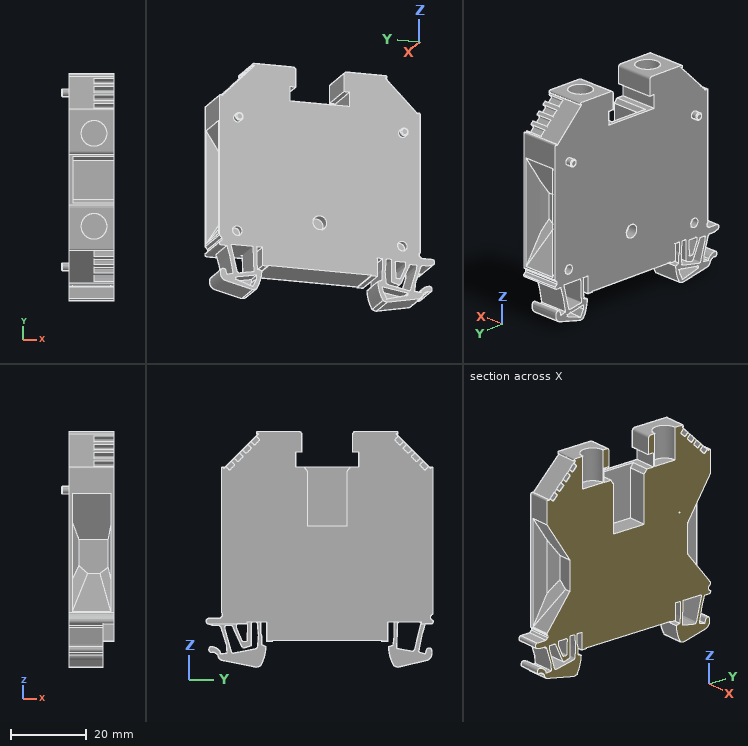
import cadquery as cq
import math


width = 11.95
half_length = 27.95
height = 62.25
skirt_half = 16.0
skirt_z = 7.05
skirt_lip_z = 6.85
skirt_lip_length = 1.6
under_z = 11.9
ledge_z = 11.45
ledge_y = 21.15

slope_sum = 79.8
shoulder_z = 52.85
lip_y = 27.25
lip_round = 0.45
top_lip_y = 18.7
top_lip_z = 61.55

gap_half = 6.65
gap_round = 0.9
undercut_half = 8.3
undercut_z = 56.8

pocket_wall = 1.1
pocket_rim_half = 6.1
pocket_half = 5.15
pocket_rim_drop = 1.25
pocket_depth = 15.55

screw_x = 6.65
screw_y = 12.25
screw_diameter = 6.8
screw_depth = 9.35

groove_start_x = 6.65
groove_width = 2.0
groove_depth = 1.45
groove_round = 0.2
groove_count = 4
groove_pitch = 3.1
first_groove_z = 60.3

pin_y = 23.0
pin_z = 46.75
pin_diameter = 2.1
pin_length = 1.9
pin_chamfer = 0.25
socket_z = 15.8
socket_diameter = 2.6
socket_depth = 2.2
center_socket_z = 20.1
center_socket_diameter = 3.8
center_socket_depth = 3.1

funnel_depth = 7.8
funnel_x = (0.95, 11.1)
funnel_z = (14.75, 45.8)
funnel_back_x = (2.7, 10.4)
funnel_back_z = (24.8, 33.75)
funnel_straight = (0.62, 0.70)
funnel_floor_x = (5.0, 8.2)
funnel_facet_z = (26.8, 26.4)

foot_width = 9.1
foot_top_z = 12.45
foot_pocket_depth = 3.75
foot_pocket_draft = 3
window_round = 0.25


def prism(points, x_start, x_end):
    """Extrude a closed (y, z) outline along X."""
    return cq.Workplane("YZ").workplane(offset=x_start).polyline(points).close().extrude(x_end - x_start)


def both_ends(solid):
    """Join a solid with its mirror image about y = 0."""
    return solid.union(solid.mirror("XZ"))


def disc(y, z, diameter, x_start, x_end):
    return cq.Workplane("YZ").workplane(offset=x_start).center(y, z).circle(diameter / 2).extrude(x_end - x_start)


def make_housing():
    bend = lip_round * (1 - math.sqrt(0.5))
    top_bend = gap_round * (1 - math.sqrt(0.5))
    outline = cq.Workplane("YZ").moveTo(-undercut_half, shoulder_z)

    outline = (
        outline.lineTo(-undercut_half, undercut_z)
        .lineTo(-gap_half, undercut_z)
        .lineTo(-gap_half, height - gap_round)
        .threePointArc((-gap_half - top_bend, height - top_bend), (-gap_half - gap_round, height))
        .lineTo(-top_lip_y + lip_round, height)
        .threePointArc((-top_lip_y + bend, height - bend), (-top_lip_y, height - lip_round))
        .lineTo(-top_lip_y, top_lip_z)
        .lineTo(top_lip_z - slope_sum, top_lip_z)
        .lineTo(-lip_y, slope_sum - lip_y)
        .lineTo(-lip_y, shoulder_z)
        .lineTo(-half_length + lip_round, shoulder_z)
        .threePointArc((-half_length + bend, shoulder_z - bend), (-half_length, shoulder_z - lip_round))
    )
    outline = (
        outline.lineTo(-half_length, 14.5)
        .lineTo(-27.7, 14.05)
        .lineTo(-27.7, 13.6)
        .lineTo(-28.3, 12.95)
        .lineTo(-31.4, 12.95)
        .threePointArc((-31.95, 12.4), (-31.55, ledge_z))
        .lineTo(-ledge_y, ledge_z)
        .lineTo(-ledge_y, under_z)
    )
    outline = (
        outline.lineTo(-skirt_half, under_z)
        .lineTo(-skirt_half, skirt_lip_z)
        .lineTo(-skirt_half + skirt_lip_length, skirt_lip_z)
        .lineTo(-skirt_half + skirt_lip_length, skirt_z)
        .lineTo(skirt_half - skirt_lip_length, skirt_z)
        .lineTo(skirt_half - skirt_lip_length, skirt_lip_z)
        .lineTo(skirt_half, skirt_lip_z)
        .lineTo(skirt_half, under_z)
    )
    outline = (
        outline.lineTo(24.9, under_z)
        .lineTo(24.9, ledge_z)
        .lineTo(27.5, ledge_z)
        .threePointArc((27.9, 11.7), (28.0, 12.2))
        .lineTo(27.25, 12.9)
        .lineTo(27.25, 13.45)
        .lineTo(half_length, 14.2)
    )
    outline = (
        outline.lineTo(half_length, shoulder_z - lip_round)
        .threePointArc((half_length - bend, shoulder_z - bend), (half_length - lip_round, shoulder_z))
        .lineTo(lip_y, shoulder_z)
        .lineTo(lip_y, slope_sum - lip_y)
        .lineTo(slope_sum - top_lip_z, top_lip_z)
        .lineTo(top_lip_y, top_lip_z)
        .lineTo(top_lip_y, height - lip_round)
        .threePointArc((top_lip_y - bend, height - bend), (top_lip_y - lip_round, height))
        .lineTo(gap_half + gap_round, height)
        .threePointArc((gap_half + top_bend, height - top_bend), (gap_half, height - gap_round))
        .lineTo(gap_half, undercut_z)
        .lineTo(undercut_half, undercut_z)
        .lineTo(undercut_half, shoulder_z)
        .close()
    )
    return outline.extrude(width)


def make_gap_pocket():
    rim_z = shoulder_z - pocket_rim_drop
    floor_z = shoulder_z - pocket_depth
    outline = [
        (-pocket_rim_half, shoulder_z),
        (-pocket_half, rim_z),
        (-pocket_half, floor_z),
        (pocket_half, floor_z),
        (pocket_half, rim_z),
        (pocket_rim_half, shoulder_z),
    ]
    return prism(outline, pocket_wall, width)


def make_screw_holes():
    hole = (
        cq.Workplane("XY").workplane(offset=height - screw_depth)
        .center(screw_x, screw_y).circle(screw_diameter / 2).extrude(screw_depth)
    )
    return both_ends(hole)


def make_grooves():
    grooves = cq.Workplane("XY")
    length = width - groove_start_x
    for i in range(groove_count):
        z = first_groove_z - i * groove_pitch * math.sin(math.radians(45))
        groove = (
            cq.Workplane("XY").box(length, 2 * groove_depth, groove_width).edges("|X").fillet(groove_round)
            .rotate((0, 0, 0), (1, 0, 0), 45)
            .translate((groove_start_x + length / 2, slope_sum - z, z))
        )
        grooves = grooves.add(groove)
    return both_ends(grooves.combine())


def corner_cutter(back_low, back_high, mouth_corner):
    """Block lying below the plane through three points."""
    a, b, c = cq.Vector(*back_low), cq.Vector(*back_high), cq.Vector(*mouth_corner)
    normal = (b - a).cross(c - a)
    if normal.z > 0:
        normal = normal * -1
    plane = cq.Plane(origin=back_low, xDir=b - a, normal=normal)
    return cq.Workplane(plane).rect(height, height).extrude(height)


def make_funnels():
    mouth = -half_length
    back = mouth + funnel_depth
    side_profile = [
        (mouth, funnel_z[0]),
        (back, funnel_back_z[0]),
        (back, funnel_back_z[1]),
        (mouth, funnel_z[1]),
    ]
    plan = [
        (funnel_x[0], mouth),
        (funnel_x[0], mouth + funnel_straight[0] * funnel_depth),
        (funnel_back_x[0], back),
        (funnel_back_x[1], back),
        (funnel_x[1], mouth + funnel_straight[1] * funnel_depth),
        (funnel_x[1], mouth),
    ]
    funnel = prism(side_profile, 0, width)
    funnel = funnel.intersect(cq.Workplane("XY").polyline(plan).close().extrude(height))
    for side in (0, 1):
        funnel = funnel.cut(corner_cutter(
            (funnel_floor_x[side], back, funnel_back_z[0]),
            (funnel_back_x[side], back, funnel_facet_z[side]),
            (funnel_x[side], mouth, funnel_z[0]),
        ))
    return both_ends(funnel)


def make_pins():
    pin = disc(pin_y, pin_z, pin_diameter, -pin_length, 0.6).faces("<X").chamfer(pin_chamfer)
    return both_ends(pin)


def make_sockets():
    sockets = both_ends(disc(pin_y, socket_z, socket_diameter, 0, socket_depth))
    return sockets.union(disc(0, center_socket_z, center_socket_diameter, 0, center_socket_depth))


def make_window(points):
    return prism(points, 0, foot_width).edges("|X").fillet(window_round)


def make_foot_pocket(points):
    return cq.Workplane("YZ").polyline(points).close().extrude(foot_pocket_depth, taper=foot_pocket_draft)


def make_plain_foot():
    """Foot on the +Y side, with one window and a short hook."""
    foot = (
        cq.Workplane("YZ")
        .moveTo(17.55, foot_top_z)
        .lineTo(17.55, 7.65)
        .lineTo(17.3, 5.8)
        .lineTo(16.1, 5.4)
        .threePointArc((16.5, 3.0), (17.55, 0.4))
        .threePointArc((18.1, 0.1), (18.75, 0))
        .lineTo(26.4, 1.8)
        .threePointArc((27.45, 2.8), (27.65, 4.25))
        .threePointArc((26.9, 5.1), (26.2, 4.7))
        .lineTo(25.85, 3.55)
        .lineTo(24.15, 4.05)
        .lineTo(25.1, 8.7)
        .lineTo(25.9, ledge_z)
        .lineTo(25.9, foot_top_z)
        .close().extrude(foot_width)
    )
    window = [(24.8, under_z), (18.6, under_z), (18.35, 5.0), (22.6, 4.25), (23.05, 4.65), (24.4, 10.4)]
    pocket = [(23.4, 3.05), (17.6, 4.1), (17.6, 3.0), (18.7, 0.9), (23.4, 2.4)]
    return foot.cut(make_window(window)).cut(make_foot_pocket(pocket))


def make_release_foot():
    """Foot on the -Y side, with a stop finger between its legs and a long pull lever."""
    foot = (
        cq.Workplane("YZ")
        .moveTo(-17.5, foot_top_z)
        .lineTo(-17.5, 8.95)
        .lineTo(-17.25, 8.1)
        .lineTo(-17.25, 6.0)
        .lineTo(-16.1, 5.4)
        .threePointArc((-16.5, 3.0), (-17.55, 0.4))
        .threePointArc((-18.1, 0.1), (-18.75, 0))
        .lineTo(-27.75, 1.8)
        .threePointArc((-28.45, 2.25), (-28.9, 3.2))
        .threePointArc((-29.3, 3.6), (-30.1, 4.0))
        .threePointArc((-31.0, 4.05), (-31.25, 4.8))
        .threePointArc((-30.95, 5.35), (-30.3, 5.5))
        .threePointArc((-29.1, 5.0), (-28.2, 4.05))
        .lineTo(-28.2, 3.55)
        .lineTo(-26.45, 3.75)
        .lineTo(-26.65, 6.0)
        .lineTo(-28.1, 10.5)
        .lineTo(-28.45, 11.0)
        .lineTo(-30.2, 11.0)
        .lineTo(-31.55, ledge_z)
        .lineTo(-31.55, foot_top_z)
        .close().extrude(foot_width)
    )
    leg_window = [
        (-18.5, under_z), (-20.0, under_z), (-20.0, 5.65), (-22.1, 5.05), (-22.6, 5.5),
        (-24.65, 9.95), (-25.1, 10.95), (-27.0, 10.95), (-26.9, 9.8), (-25.2, 3.9),
        (-24.85, 3.75), (-18.8, 4.9), (-18.4, 5.3), (-18.2, 8.4),
    ]
    finger_window = [(-21.05, ledge_z), (-23.9, ledge_z), (-23.9, 10.35), (-22.4, 6.85), (-21.15, 6.8)]
    pocket = [(-17.35, 4.1), (-24.5, 3.05), (-24.5, 2.5), (-18.7, 0.9), (-17.6, 3.0)]
    for window in (leg_window, finger_window):
        foot = foot.cut(make_window(window))
    return foot.cut(make_foot_pocket(pocket))


result = make_housing()
for cutter in (make_gap_pocket(), make_screw_holes(), make_grooves(), make_funnels(), make_sockets()):
    result = result.cut(cutter)
for addition in (make_pins(), make_plain_foot(), make_release_foot()):
    result = result.union(addition)